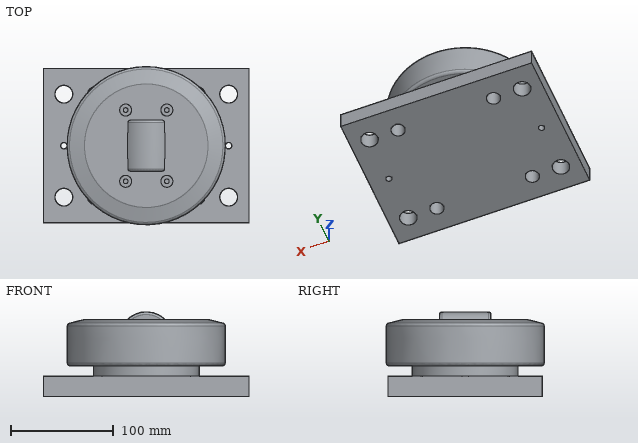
import cadquery as cq
import math

PLATE_LENGTH = 200.0
PLATE_WIDTH = 150.0
PLATE_THICKNESS = 20.0
CORNER_HOLE_DIAMETER = 17.0
CORNER_HOLE_X = 80.0
MOUNT_HOLE_Y = 50.0
INNER_HOLE_DIAMETER = 13.8
INNER_HOLE_X = 50.0
PIN_HOLE_DIAMETER = 6.0

NECK_DIAMETER = 103.0
ROLLER_DIAMETER = 153.8
ROLLER_BOTTOM = 29.8
ROLLER_TOP = 75.0
ROLLER_SHOULDER = 70.8
FLAT_DIAMETER = 120.0
RIM_FILLET = 3.0
CROWN_RADIUS = 1000.0

SIDE_ROLLER_RADIUS = 26.0
SIDE_ROLLER_LENGTH = 50.0
SIDE_ROLLER_FILLET = 2.5
OVERALL_HEIGHT = 82.5

SCREW_X = 20.0
SCREW_Y = 34.5
SCREW_DIAMETER = 11.5
SOCKET_DIAMETER = 4.5
HEAD_RECESS = 0.2
SOCKET_DEPTH = 0.5


def crown_drop(half_length):
    """Radius lost at the ends of a crowned roller."""
    return CROWN_RADIUS - math.sqrt(CROWN_RADIUS**2 - half_length**2)


def make_plate():
    plate = cq.Workplane("XY").box(
        PLATE_LENGTH, PLATE_WIDTH, PLATE_THICKNESS, centered=(True, True, False)
    )
    top = plate.faces(">Z").workplane()
    hole_patterns = [
        (CORNER_HOLE_X, MOUNT_HOLE_Y, CORNER_HOLE_DIAMETER),
        (INNER_HOLE_X, MOUNT_HOLE_Y, INNER_HOLE_DIAMETER),
    ]
    for x, y, diameter in hole_patterns:
        plate = top.rect(2 * x, 2 * y, forConstruction=True).vertices().hole(diameter)
        top = plate.faces(">Z").workplane()
    return top.pushPoints([(-CORNER_HOLE_X, 0), (CORNER_HOLE_X, 0)]).hole(PIN_HOLE_DIAMETER)


def make_neck():
    height = ROLLER_BOTTOM - PLATE_THICKNESS
    return cq.Workplane("XY").workplane(offset=PLATE_THICKNESS).circle(NECK_DIAMETER / 2).extrude(height)


def make_main_roller():
    radius = ROLLER_DIAMETER / 2
    middle = (ROLLER_BOTTOM + ROLLER_SHOULDER) / 2
    end_radius = radius - crown_drop(ROLLER_SHOULDER - middle)
    roller = (
        cq.Workplane("XZ")
        .moveTo(0, ROLLER_BOTTOM)
        .lineTo(end_radius, ROLLER_BOTTOM)
        .threePointArc((radius, middle), (end_radius, ROLLER_SHOULDER))
        .lineTo(FLAT_DIAMETER / 2, ROLLER_TOP)
        .lineTo(0, ROLLER_TOP)
        .close()
        .revolve(360, (0, 0, 0), (0, 1, 0))
    )
    return roller.edges(cq.selectors.RadiusNthSelector(1)).fillet(RIM_FILLET)


def make_side_roller():
    half_length = SIDE_ROLLER_LENGTH / 2
    end_radius = SIDE_ROLLER_RADIUS - crown_drop(half_length)
    roller = (
        cq.Workplane("XY")
        .moveTo(0, -half_length)
        .lineTo(end_radius, -half_length)
        .threePointArc((SIDE_ROLLER_RADIUS, 0), (end_radius, half_length))
        .lineTo(0, half_length)
        .close()
        .revolve(360, (0, 0, 0), (0, 1, 0))
    )
    roller = roller.faces("<Y or >Y").edges().fillet(SIDE_ROLLER_FILLET)
    return roller.translate((0, 0, OVERALL_HEIGHT - SIDE_ROLLER_RADIUS))


def make_screw_recesses(diameter, depth):
    """Round cutters at the four screws, sunk to a depth below the top face."""
    return (
        cq.Workplane("XY")
        .workplane(offset=ROLLER_TOP - depth)
        .rect(2 * SCREW_X, 2 * SCREW_Y, forConstruction=True)
        .vertices()
        .circle(diameter / 2)
        .extrude(depth)
    )


result = make_plate().union(make_neck()).union(make_main_roller()).union(make_side_roller())
result = result.cut(make_screw_recesses(SCREW_DIAMETER, HEAD_RECESS))
result = result.cut(make_screw_recesses(SOCKET_DIAMETER, SOCKET_DEPTH))